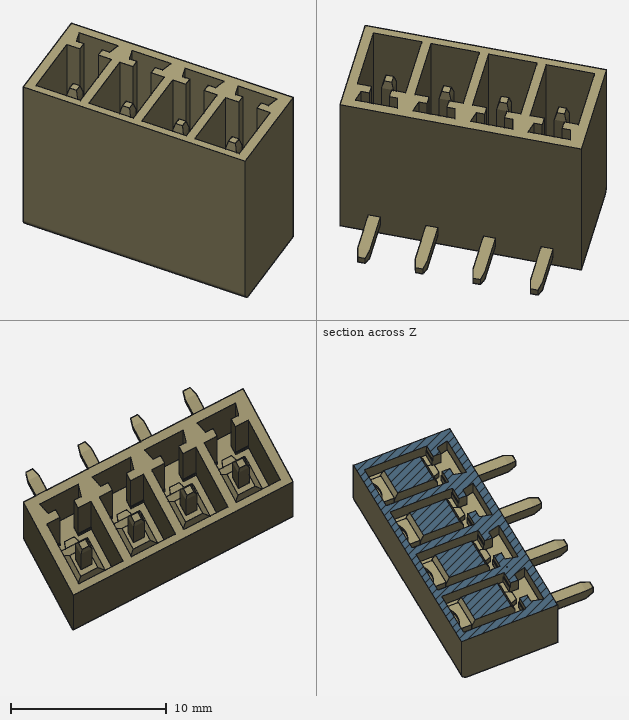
import cadquery as cq


ways = 4
pitch = 3.81
end_margin = 2.27
body_length = (ways - 1) * pitch + 2 * end_margin
body_depth = 6.9
body_height = 12.0
front_edge_radius = 0.5

cavity_width = 3.2
cavity_front = 0.5
cavity_back = 4.92
floor_height = 3.0
neck_width = 1.32
dovetail_front = 5.49
dovetail_back = 6.29
dovetail_front_width = 2.4
dovetail_back_width = 2.8

step_depth = 0.06
step_height = 0.5

pin_size = 0.8
tip_size = 0.5
tip_length = 0.6
pin_y = 2.88
pin_top = 10.62
tail_height = 1.2
tail_reach = 3.5

plinth_height = 0.45
pedestal_height = 1.5
pedestal_top_width = 1.24
pedestal_top_depth = 1.54
pedestal_base_width = 2.14
pedestal_base_depth = 3.08
shoulder_width = 2.02
shoulder_drop = 0.58

ledge_width = 2.0
ledge_height = 0.5
notch_radius = 1.35
notch_reach = 0.32
notch_depth = 0.2
notch_tilt = 2.0

rib_base_width = 1.0
rib_end_width = 0.7

ledge_top = floor_height + ledge_height
plinth_top = floor_height + plinth_height
pedestal_top = plinth_top + pedestal_height
pedestal_front = pin_y - pedestal_base_depth / 2
pedestal_back = pin_y + pedestal_base_depth / 2
step_front = cavity_back - step_depth


def box(x_size, y_start, y_end, z_start, z_end):
    """Box centred on X = 0 between the given Y and Z limits."""
    size = (x_size, y_end - y_start, z_end - z_start)
    return cq.Workplane("XY").box(*size, centered=(True, False, False)).translate((0, y_start, z_start))


def make_housing():
    block = box(body_length, 0, body_depth, 0, body_height)
    return block.edges("<Y and <Z").fillet(front_edge_radius)


def make_cavity():
    """Plug pocket with a dovetailed keyway at its back."""
    depth = body_height - floor_height
    right_side = [
        (cavity_width / 2, cavity_front),
        (cavity_width / 2, cavity_back),
        (neck_width / 2, cavity_back),
        (neck_width / 2, dovetail_front),
        (dovetail_front_width / 2, dovetail_front),
        (dovetail_back_width / 2, dovetail_back),
    ]
    left_side = [(-x, y) for x, y in reversed(right_side)]
    outline = cq.Workplane("XY", origin=(0, 0, floor_height)).polyline(right_side + left_side)
    return outline.close().extrude(depth)


def make_wall_step():
    step_top = floor_height + step_height
    step = box(cavity_width, step_front, cavity_back, floor_height, step_top)
    return step.cut(box(neck_width, step_front, cavity_back, floor_height, step_top))


def make_pedestal():
    """Block sloped evenly at its ends; its sides slope to a shoulder, then drop almost upright."""
    end_profile = [
        (pin_y - pedestal_top_depth / 2, pedestal_top),
        (pin_y + pedestal_top_depth / 2, pedestal_top),
        (pedestal_back, plinth_top),
        (pedestal_back, floor_height),
        (pedestal_front, floor_height),
        (pedestal_front, plinth_top),
    ]
    lengthwise = cq.Workplane("YZ").polyline(end_profile).close().extrude(pedestal_base_width / 2, both=True)
    shoulder_z = pedestal_top - shoulder_drop
    right_side = [
        (pedestal_base_width / 2, floor_height),
        (pedestal_base_width / 2, plinth_top),
        (shoulder_width / 2, shoulder_z),
        (pedestal_top_width / 2, pedestal_top),
    ]
    left_side = [(-x, z) for x, z in reversed(right_side)]
    crosswise = cq.Workplane("XZ").polyline(right_side + left_side).close().extrude(-body_depth)
    return lengthwise.intersect(crosswise)


def make_ledge():
    ledge = box(ledge_width, cavity_front, pin_y, floor_height, ledge_top)
    rim_y = cavity_front + notch_reach
    notch_floor = ledge_top - notch_depth
    notch = cq.Workplane("XY", origin=(0, rim_y - notch_radius, notch_floor)).circle(notch_radius)
    tilted_notch = notch.extrude(2 * notch_depth).rotate((0, rim_y, ledge_top), (1, rim_y, ledge_top), notch_tilt)
    return ledge.cut(tilted_notch)


def make_rib():
    """Rib as high as the plinth, narrowing toward the cavity's back wall."""
    outline = [
        (rib_base_width / 2, pedestal_back),
        (rib_end_width / 2, step_front),
        (-rib_end_width / 2, step_front),
        (-rib_base_width / 2, pedestal_back),
    ]
    return cq.Workplane("XY", origin=(0, 0, floor_height)).polyline(outline).close().extrude(plinth_height)


def make_bar(plane, length):
    """Square bar along the plane's normal, ending in a tapered tip."""
    shank = length - tip_length
    bar = cq.Workplane(plane).rect(pin_size, pin_size).extrude(shank)
    tip = cq.Workplane(plane).workplane(offset=shank).rect(pin_size, pin_size)
    return bar.union(tip.workplane(offset=tip_length).rect(tip_size, tip_size).loft())


def make_pin():
    """Upright contact and horizontal tail meeting inside the housing floor."""
    corner = (0, pin_y, tail_height)
    upright = make_bar(cq.Plane(corner, (1, 0, 0), (0, 0, 1)), pin_top - tail_height)
    tail = make_bar(cq.Plane(corner, (1, 0, 0), (0, 1, 0)), body_depth + tail_reach - pin_y)
    return upright.union(tail)


def make_way_fittings():
    fittings = make_pedestal()
    for piece in (make_ledge(), make_rib(), make_wall_step(), make_pin()):
        fittings = fittings.union(piece)
    return fittings


cavity = make_cavity()
fittings = make_way_fittings()
result = make_housing()
for way in range(ways):
    way_x = (way - (ways - 1) / 2) * pitch
    result = result.cut(cavity.translate((way_x, 0, 0)))
    result = result.union(fittings.translate((way_x, 0, 0)))